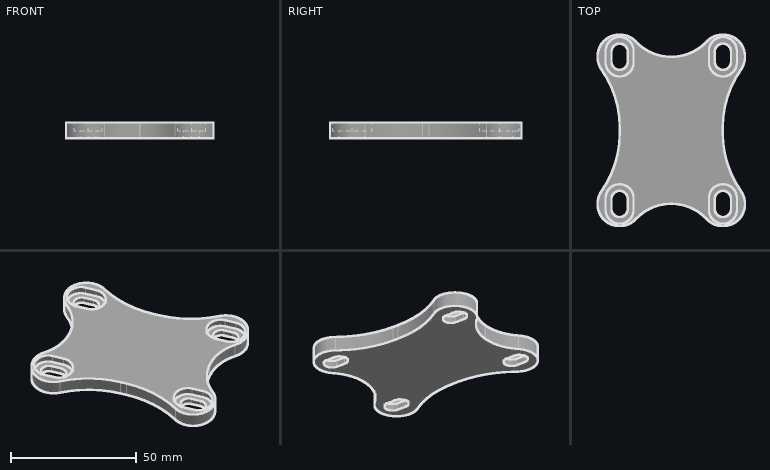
import cadquery as cq
import math

thickness = 6.35
length = 76.5
width = 59.0
lobe_radius = 8.9
lobe_x = width / 2 - lobe_radius
lobe_y = length / 2 - lobe_radius

side_arc_radius = 40.2
end_arc_radius = 19.2

slot_width = 6.4
slot_length = 10.4
recess_width = 11.2
recess_length = 15.75
recess_depth = 3.4


def tangent_offset(arc_radius):
    """Distance along the edge between a lobe center and its concave arc's center."""
    return math.sqrt((lobe_radius + arc_radius) ** 2 - arc_radius**2)


def corner_sector():
    """One quarter of the plate (+X, +Y), out to its lobe and concave arcs."""
    side_offset = tangent_offset(side_arc_radius)
    end_offset = tangent_offset(end_arc_radius)
    side_angle = math.asin(side_offset / (lobe_radius + side_arc_radius))
    end_angle = math.asin(end_offset / (lobe_radius + end_arc_radius))

    side_start = (lobe_x, lobe_y - side_offset)
    end_start = (lobe_x - end_offset, lobe_y)

    side_tangent = (
        lobe_x + lobe_radius * math.cos(side_angle),
        lobe_y - lobe_radius * math.sin(side_angle),
    )
    end_tangent = (
        lobe_x - lobe_radius * math.sin(end_angle),
        lobe_y + lobe_radius * math.cos(end_angle),
    )

    side_middle = (
        lobe_x + side_arc_radius * (1 - math.cos(side_angle / 2)),
        side_start[1] + side_arc_radius * math.sin(side_angle / 2),
    )
    end_middle = (
        end_start[0] + end_arc_radius * math.sin(end_angle / 2),
        lobe_y + end_arc_radius * (1 - math.cos(end_angle / 2)),
    )

    diagonal = lobe_radius * math.sqrt(0.5)
    lobe_middle = (lobe_x + diagonal, lobe_y + diagonal)

    return (
        cq.Workplane("XY")
        .lineTo(lobe_x, 0)
        .lineTo(*side_start)
        .threePointArc(side_middle, side_tangent)
        .threePointArc(lobe_middle, end_tangent)
        .threePointArc(end_middle, end_start)
        .lineTo(0, lobe_y)
        .close()
        .extrude(thickness)
    )


def slots(slot_size_y, slot_size_x, floor_height):
    """Four slot cutters at the lobe centers, from the floor height to the top face."""
    return (
        cq.Workplane("XY", origin=(0, 0, floor_height))
        .rarray(2 * lobe_x, 2 * lobe_y, 2, 2)
        .slot2D(slot_size_y, slot_size_x, angle=90)
        .extrude(thickness - floor_height)
    )


quarter = corner_sector()
half = quarter.union(quarter.mirror("YZ"))
plate = half.union(half.mirror("XZ")).clean()

through_slots = slots(slot_length, slot_width, 0)
recesses = slots(recess_length, recess_width, thickness - recess_depth)

result = plate.cut(through_slots).cut(recesses)